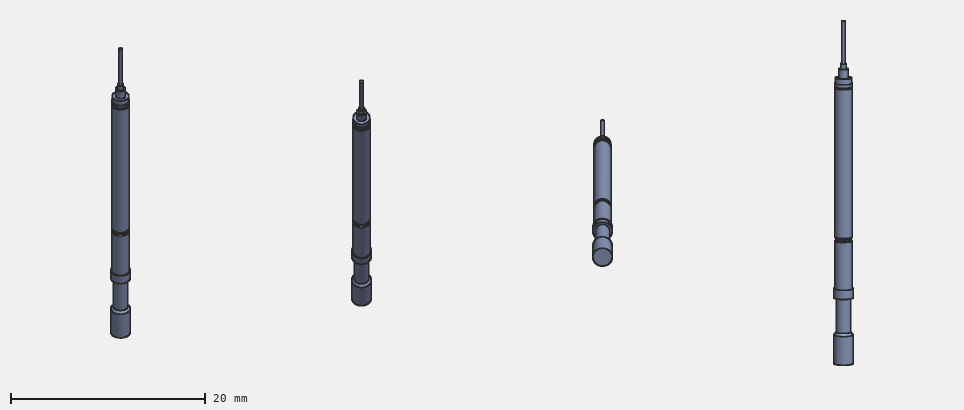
import cadquery as cq

head_diameter = 2.0
collar_diameter = 2.0
plunger_diameter = 1.5
neck_diameter = 1.55
rear_boss_diameter = 1.0
ferrule_diameter = 0.6
wire_diameter = 0.4

collar_height = 0.085
rear_step_depth = 0.055

total_length = 35.8
head_shoulder_z = 3.0
collar_z = 6.87
neck_z = 12.8
rear_cap_z = 29.3
barrel_end_z = 29.85

head_taper_length = 0.3
collar_length = 0.95
neck_length = 0.43
neck_lower_slope = 0.1
neck_upper_slope = 0.15
rear_groove_width = 0.15
rear_land_length = 0.35
rear_boss_length = 0.93
ferrule_length = 0.55

head_radius = head_diameter / 2
collar_radius = collar_diameter / 2
barrel_radius = collar_radius - collar_height
plunger_radius = plunger_diameter / 2
neck_radius = neck_diameter / 2
rear_cap_radius = barrel_radius - rear_step_depth
rear_boss_radius = rear_boss_diameter / 2
ferrule_radius = ferrule_diameter / 2
wire_radius = wire_diameter / 2

plunger_outline = [
    (head_radius, 0),
    (head_radius, head_shoulder_z),
    (plunger_radius, head_shoulder_z + head_taper_length),
    (plunger_radius, collar_z),
]

collar_top = collar_z + collar_length
collar_outline = [
    (collar_radius, collar_z),
    (collar_radius, collar_top),
]

neck_top = neck_z + neck_length
groove_top = rear_cap_z - rear_land_length
groove_bottom = groove_top - rear_groove_width
barrel_outline = [
    (barrel_radius, collar_top),
    (barrel_radius, neck_z),
    (neck_radius, neck_z + neck_lower_slope),
    (neck_radius, neck_top - neck_upper_slope),
    (barrel_radius, neck_top),
    (barrel_radius, groove_bottom),
    (rear_cap_radius, groove_bottom),
    (rear_cap_radius, groove_top),
    (barrel_radius, groove_top),
    (barrel_radius, rear_cap_z),
    (rear_cap_radius, rear_cap_z),
    (rear_cap_radius, barrel_end_z),
]

boss_top = barrel_end_z + rear_boss_length
ferrule_top = boss_top + ferrule_length
terminal_outline = [
    (rear_boss_radius, barrel_end_z),
    (rear_boss_radius, boss_top),
    (ferrule_radius, boss_top),
    (ferrule_radius, ferrule_top),
    (wire_radius, ferrule_top),
    (wire_radius, total_length),
]

half_section = (
    [(0, 0)]
    + plunger_outline
    + collar_outline
    + barrel_outline
    + terminal_outline
    + [(0, total_length)]
)
axis_start = (0, 0)
axis_end = (0, 1)
result = cq.Workplane("XZ").polyline(half_section).close().revolve(360, axis_start, axis_end)